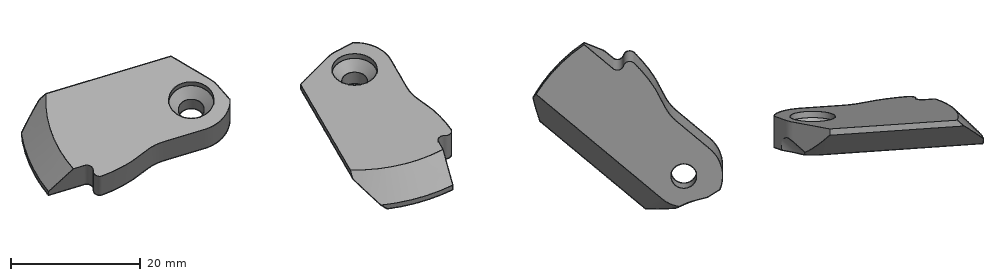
import cadquery as cq
import math

THICKNESS = 5.0
LAND = 1.0
BEVEL = THICKNESS - LAND

OUTER_WIDTH = 17.85
LEFT_X = -9.0
HEAD_RADIUS = 6.02
RIGHT_X = HEAD_RADIUS
END_RADIUS = 26.52
HEAD_TOP_Y = 32.18 - END_RADIUS
SLANT_ANGLE = math.radians(33.4)
TIP_ANGLE = math.radians(15)
SHOULDER_RADIUS = 5.0

HOOK_RADIUS = 1.0
HOOK_Y = -18.05
HOOK_START_Y = -6.8
HOOK_SLOPE = math.radians(22)
HOOK_INNER_RADIUS = 7.55
HOOK_SHOULDER_Y = -12.68
HOOK_BACK_MIDDLE = (8.55, -15.75)

HOLE_DIAMETER = 4.0
SINK_DIAMETER = 7.0
SINK_STRAIGHT_DEPTH = 1.0

GROOVE_RADIUS = 4.83
GROOVE_START_Y = 2.2
GROOVE_RISE = math.radians(29)
GROOVE_LEAN = math.radians(30)
MARGIN = 19.3


def make_blank():
    """Flat plate with the rounded end, slanted head and side hook."""
    head_top_x = math.sqrt(HEAD_RADIUS**2 - HEAD_TOP_Y**2)
    slant, tip = math.tan(SLANT_ANGLE), math.tan(TIP_ANGLE)
    corner_x = (HEAD_TOP_Y - tip * head_top_x + slant * LEFT_X) / (slant - tip)
    corner_y = slant * (corner_x - LEFT_X)
    head_mid = math.atan2(HEAD_TOP_Y, head_top_x) / 2

    def end_point(x):
        return x, -math.sqrt(END_RADIUS**2 - x**2)

    flank_start_x = RIGHT_X + HOOK_INNER_RADIUS * (1 - math.cos(HOOK_SLOPE))
    flank_start_y = HOOK_START_Y - HOOK_INNER_RADIUS * math.sin(HOOK_SLOPE)
    shoulder_x = flank_start_x + (flank_start_y - HOOK_SHOULDER_Y) * math.tan(HOOK_SLOPE)

    hook_x = LEFT_X + OUTER_WIDTH - HOOK_RADIUS
    notch_x = RIGHT_X + HOOK_RADIUS
    notch_y = HOOK_Y - math.sqrt((2 * HOOK_RADIUS)**2 - (hook_x - notch_x)**2)
    touch = ((hook_x + notch_x) / 2, (HOOK_Y + notch_y) / 2)
    touch_angle = math.atan2(HOOK_Y - notch_y, hook_x - notch_x)
    hook_mid = (touch_angle - math.pi) / 2
    notch_mid = (touch_angle + math.pi) / 2

    def on_circle(x, y, angle):
        return x + HOOK_RADIUS * math.cos(angle), y + HOOK_RADIUS * math.sin(angle)

    outline = (
        cq.Workplane("XY")
        .moveTo(LEFT_X, 0)
        .lineTo(corner_x, corner_y)
        .lineTo(head_top_x, HEAD_TOP_Y)
        .threePointArc(
            (HEAD_RADIUS * math.cos(head_mid), HEAD_RADIUS * math.sin(head_mid)),
            (RIGHT_X, 0),
        )
        .lineTo(RIGHT_X, HOOK_START_Y)
        .tangentArcPoint((flank_start_x, flank_start_y), relative=False)
        .lineTo(shoulder_x, HOOK_SHOULDER_Y)
        .threePointArc(HOOK_BACK_MIDDLE, (hook_x + HOOK_RADIUS, HOOK_Y))
        .threePointArc(on_circle(hook_x, HOOK_Y, hook_mid), touch)
        .threePointArc(on_circle(notch_x, notch_y, notch_mid), (RIGHT_X, notch_y))
        .lineTo(*end_point(RIGHT_X))
        .threePointArc((0, -END_RADIUS), end_point(LEFT_X))
        .close()
    )
    blank = outline.extrude(THICKNESS)
    shoulder = cq.selectors.NearestToPointSelector((corner_x, corner_y, THICKNESS / 2))
    return blank.edges("|Z").edges(shoulder).fillet(SHOULDER_RADIUS)


def end_bevel():
    """Ring that cuts the conical bevel on the top of the rounded end."""
    profile = (
        cq.Workplane("XZ")
        .moveTo(END_RADIUS, LAND)
        .lineTo(END_RADIUS + MARGIN, LAND)
        .lineTo(END_RADIUS + MARGIN, THICKNESS)
        .lineTo(END_RADIUS - BEVEL, THICKNESS)
        .close()
    )
    lower_half = cq.Workplane("XY").box(
        4 * END_RADIUS, 2 * END_RADIUS, 2 * THICKNESS, centered=(True, False, True)
    ).translate((0, -2 * END_RADIUS, 0))
    return profile.revolve(360, (0, 0), (0, 1)).intersect(lower_half)


def left_bevel_profile():
    """Triangle below the 45 degree bevel along the left side."""
    return (
        cq.Workplane("XZ")
        .moveTo(LEFT_X, 0)
        .lineTo(LEFT_X + BEVEL, 0)
        .lineTo(LEFT_X, BEVEL)
        .close()
    )


def left_bevel():
    """Straight underside bevel, carried round the pivot as a quarter cone."""
    straight = left_bevel_profile().extrude(END_RADIUS)
    turned = left_bevel_profile().revolve(90, (0, 0), (0, -1))
    return straight.union(turned)


def pivot_hole():
    """Through hole with a straight-sided recess and a 45 degree countersink."""
    hole_radius, sink_radius = HOLE_DIAMETER / 2, SINK_DIAMETER / 2
    recess_z = THICKNESS - SINK_STRAIGHT_DEPTH
    return (
        cq.Workplane("XZ")
        .lineTo(hole_radius, 0)
        .lineTo(hole_radius, recess_z - (sink_radius - hole_radius))
        .lineTo(sink_radius, recess_z)
        .lineTo(sink_radius, THICKNESS)
        .lineTo(0, THICKNESS)
        .close()
        .revolve(360, (0, 0), (0, 1))
    )


def side_groove():
    """Tilted cylinder that skims the lower edge of the slanted side."""
    along = cq.Vector(math.cos(SLANT_ANGLE), math.sin(SLANT_ANGLE), 0)
    up = cq.Vector(0, 0, 1)
    axis = along * math.cos(GROOVE_RISE) + up * math.sin(GROOVE_RISE)
    across = along * math.sin(GROOVE_RISE) - up * math.cos(GROOVE_RISE)
    start = (LEFT_X + GROOVE_START_Y / math.tan(SLANT_ANGLE), GROOVE_START_Y, 0)
    plane = cq.Plane(origin=start, xDir=across, normal=axis)
    center = (GROOVE_RADIUS * math.sin(GROOVE_LEAN), GROOVE_RADIUS * math.cos(GROOVE_LEAN))
    return cq.Workplane(plane).center(*center).circle(GROOVE_RADIUS).extrude(MARGIN, both=True)


result = make_blank()
for cutter in (end_bevel(), left_bevel(), pivot_hole(), side_groove()):
    result = result.cut(cutter)